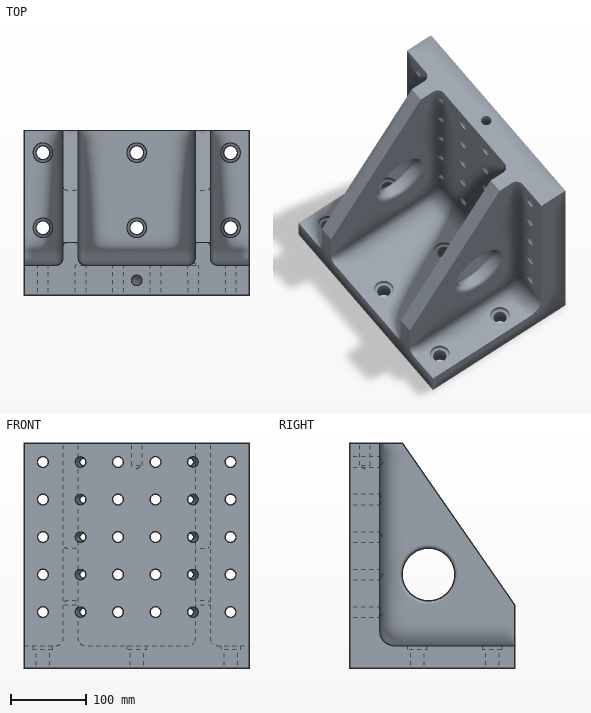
import cadquery as cq
import math

width = 300.0
depth = 220.0
height = 300.0
plate_thickness = 40.0
base_thickness = 30.0

rib_gap = 156.0
rib_thickness = 20.0
rib_top_y = 70.5
rib_back_height = 84.5
rib_fillet = 10.0
corner_fillet = 2 * rib_fillet

window_diameter = 70.0
window_rounding = 5.0
window_y = 105.0
window_z = 125.0

drill_diameter = 14.0
drill_point_angle = 120.0
grid_columns = 6
grid_rows = 5
grid_pitch = width / grid_columns
top_hole_depth = 30.0

mount_diameter = 18.0
counterbore_diameter = 26.0
counterbore_depth = 5.0
mount_first_y = 90.0
mount_pitch_y = 2 * grid_pitch

middle_x = width / 2
inner_rib_offset = rib_gap / 2
outer_rib_offset = inner_rib_offset + rib_thickness


def side_prism(points, x_start, length):
    """Extrude a YZ outline along +X."""
    return cq.Workplane("YZ").workplane(offset=x_start).polyline(points).close().extrude(length)


def bracket_body():
    outline = [
        (0, 0),
        (depth, 0),
        (depth, rib_back_height),
        (rib_top_y, height),
        (0, height),
    ]
    return side_prism(outline, 0, width)


def pocket(x_start, x_end):
    """Space beside the ribs; it runs past the open back and top of the bracket."""
    size = (x_end - x_start, depth, height)
    corner = (x_start, plate_thickness, base_thickness)
    block = cq.Workplane("XY").box(*size, centered=False).translate(corner)
    return block.edges("|X and <Y and <Z").fillet(corner_fillet)


def pockets():
    left_rib_outer = middle_x - outer_rib_offset
    right_rib_outer = middle_x + outer_rib_offset
    left_pocket = pocket(-width, left_rib_outer).faces(">X").edges("<Y or <Z or %CIRCLE")
    right_pocket = pocket(right_rib_outer, 2 * width).faces("<X").edges("<Y or <Z or %CIRCLE")
    middle_pocket = pocket(middle_x - inner_rib_offset, middle_x + inner_rib_offset)
    middle_pocket = middle_pocket.faces("<X or >X").edges("<Y or <Z or %CIRCLE")
    return [space.fillet(rib_fillet) for space in (left_pocket, middle_pocket, right_pocket)]


def rounded_window(rib_center_x):
    """Cutter for a window whose rim is rounded on both faces of the rib."""
    radius = window_diameter / 2
    rim_radius = radius + window_rounding
    half_rib = rib_thickness / 2
    straight_half = half_rib - window_rounding
    arc_middle = window_rounding * math.sqrt(0.5)
    profile = (
        cq.Workplane("XY")
        .moveTo(-half_rib, 0)
        .lineTo(-half_rib, rim_radius)
        .threePointArc((-straight_half - arc_middle, rim_radius - arc_middle), (-straight_half, radius))
        .lineTo(straight_half, radius)
        .threePointArc((straight_half + arc_middle, rim_radius - arc_middle), (half_rib, rim_radius))
        .lineTo(half_rib, 0)
        .close()
    )
    cutter = profile.revolve(360, (0, 0, 0), (1, 0, 0))
    return cutter.translate((rib_center_x, window_y, window_z))


def drill(full_depth):
    """Drill cutter with a conical point, entering at the origin along -Z."""
    radius = drill_diameter / 2
    point_length = radius / math.tan(math.radians(drill_point_angle / 2))
    profile = [(0, 0), (radius, 0), (radius, -full_depth), (0, -full_depth - point_length)]
    return cq.Workplane("XZ").polyline(profile).close().revolve(360, (0, 0, 0), (0, 1, 0))


result = bracket_body()
for space in pockets():
    result = result.cut(space)

rib_center_offset = (inner_rib_offset + outer_rib_offset) / 2
for side in (-1, 1):
    result = result.cut(rounded_window(middle_x + side * rib_center_offset))

grid_drill = drill(plate_thickness).rotate((0, 0, 0), (1, 0, 0), 90)
for column in range(grid_columns):
    for row in range(grid_rows):
        hole_x = (column + 0.5) * grid_pitch
        hole_z = height - (row + 0.5) * grid_pitch
        result = result.cut(grid_drill.translate((hole_x, 0, hole_z)))

result = result.cut(drill(top_hole_depth).translate((middle_x, plate_thickness / 2, height)))

mount_points = [
    (x, mount_first_y + row * mount_pitch_y)
    for x in (grid_pitch / 2, middle_x, width - grid_pitch / 2)
    for row in range(2)
]
base_top = cq.Workplane("XY").workplane(offset=base_thickness).pushPoints(mount_points)
through_holes = base_top.circle(mount_diameter / 2).extrude(-base_thickness)
counterbores = base_top.circle(counterbore_diameter / 2).extrude(-counterbore_depth)
result = result.cut(through_holes).cut(counterbores)